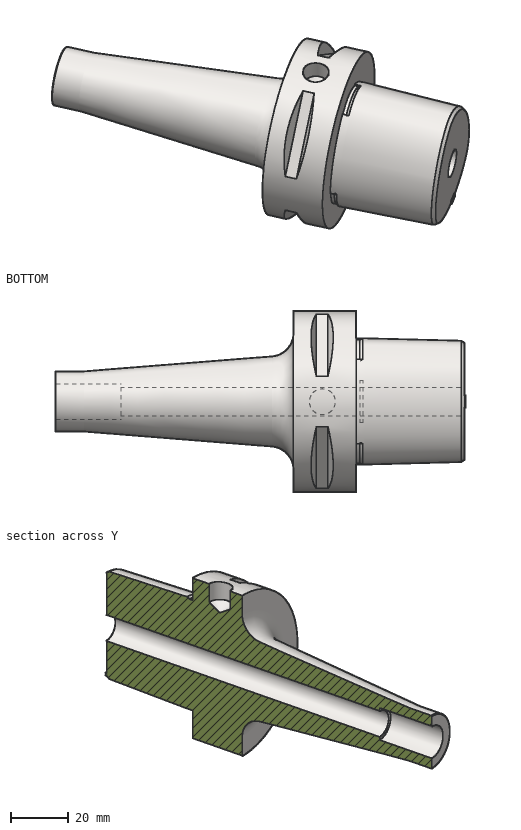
import cadquery as cq
import math

length = 143.0
nose_end = 10.0
cone_end = 75.5
flange_start = 83.0
flange_end = 104.8
taper_start = 107.7
pad_height = 0.5
shank_end = length - pad_height

nose_radius = 21.0 / 2
nose_chamfer = 0.3
cone_radius = 15.7
flange_radius = 63.0 / 2
blend_end_radius = 23.7

shank_radius = 22.0
lobe_height = 1.4
lobe_count = 3
curve_points = 36
taper_slope = 1 / 40
end_chamfer_length = 1.3
end_chamfer_depth = 0.9

notch_width = 14.6
notch_depth = 0.6
notch_floor_end = 106.1
notch_end = 107.1

slot_center = 93.0
slot_floor_width = 4.0
slot_mouth_width = 7.7
slot_floor_distance = 27.6
mark_diameter = 9.0
mark_depth = 7.2
drill_point_angle = 118
bore_diameter = 10.0
counterbore_diameter = 12.5
counterbore_depth = 22.9

pad_width = 4.3
pad_thickness = 1.0
pad_z = -18.2


def cross_section(x):
    """Work plane across the axis: local x is +Y, local y is +Z."""
    return cq.Workplane("YZ", origin=(x, 0, 0))


def lobed_wire(x, radius):
    """Closed three-lobed curve with one lobe on +Z; `radius` is its mean radius."""

    def point(turn):
        angle = 2 * math.pi * turn
        reach = radius + lobe_height * math.cos(lobe_count * angle)
        swing = lobe_count * lobe_height * math.sin(lobe_count * angle)
        y = reach * math.sin(angle) - swing * math.cos(angle)
        z = reach * math.cos(angle) + swing * math.sin(angle)
        return (y, z)

    seam = 0.5 / lobe_count
    points = [point(i / curve_points - seam) for i in range(curve_points)]
    return cross_section(x).spline(points, periodic=True).wire().val()


def lobed_solid(start, start_radius, end, end_radius):
    wires = [lobed_wire(start, start_radius), lobed_wire(end, end_radius)]
    return cq.Workplane(cq.Solid.makeLoft(wires, True))


def make_turned_body():
    return (
        cq.Workplane("XY")
        .lineTo(0, nose_radius - nose_chamfer)
        .lineTo(nose_chamfer, nose_radius)
        .lineTo(nose_end, nose_radius)
        .lineTo(cone_end, cone_radius)
        .tangentArcPoint((flange_start, blend_end_radius), relative=False)
        .lineTo(flange_start, flange_radius)
        .lineTo(flange_end, flange_radius)
        .lineTo(flange_end, 0)
        .close()
        .revolve(360, (0, 0, 0), (1, 0, 0))
    )


def make_shank():
    chamfer_start = shank_end - end_chamfer_length
    tip_radius = shank_radius - taper_slope * (chamfer_start - taper_start)
    root = lobed_solid(flange_end, shank_radius, taper_start, shank_radius)
    taper = lobed_solid(taper_start, shank_radius, chamfer_start, tip_radius)
    chamfer = lobed_solid(chamfer_start, tip_radius, shank_end, tip_radius - end_chamfer_depth)
    return root.union(taper).union(chamfer)


def make_notches():
    """Shallow reliefs on the lobes, each with a sloping run-out wall."""
    floor_radius = shank_radius - notch_depth
    floor = lobed_solid(flange_end, floor_radius, notch_floor_end, floor_radius)
    run_out = lobed_solid(notch_floor_end, floor_radius, notch_end, shank_radius)
    block = cross_section(flange_end).rect(notch_width, flange_radius, centered=(True, False))
    block = block.extrude(notch_end - flange_end)
    blocks = block
    for i in range(1, lobe_count):
        blocks = blocks.union(block.rotate((0, 0, 0), (1, 0, 0), i * 360 / lobe_count))
    return blocks.cut(floor).cut(run_out)


def make_gripper_slot():
    """Straight slot with sloping sides across the +Z side of the flange."""
    slot_top = 2 * flange_radius - slot_floor_distance
    mouth_overhang = slot_mouth_width - slot_floor_width
    half_floor = slot_floor_width / 2
    half_top = half_floor + mouth_overhang
    outline = [
        (slot_center - half_floor, slot_floor_distance),
        (slot_center + half_floor, slot_floor_distance),
        (slot_center + half_top, slot_top),
        (slot_center - half_top, slot_top),
    ]
    return cq.Workplane("XZ").polyline(outline).close().extrude(flange_radius, both=True)


def make_drilled_mark():
    """Blind drilled hole with a conical bottom, on the +Z side of the flange."""
    radius = mark_diameter / 2
    floor = flange_radius - mark_depth
    tip = floor - radius / math.tan(math.radians(drill_point_angle / 2))
    outline = [(0, tip), (radius, floor), (radius, flange_radius), (0, flange_radius)]
    return (
        cq.Workplane("XZ", origin=(slot_center, 0, 0))
        .polyline(outline)
        .close()
        .revolve(360, (0, 0, 0), (0, 1, 0))
    )


def make_bore():
    bore = cross_section(0).circle(bore_diameter / 2).extrude(length)
    counterbore = cross_section(0).circle(counterbore_diameter / 2).extrude(counterbore_depth)
    return bore.union(counterbore)


def make_end_pad():
    pad = cross_section(shank_end).center(0, pad_z).rect(pad_width, pad_thickness)
    return pad.extrude(pad_height)


result = make_turned_body().union(make_shank().cut(make_notches())).union(make_end_pad())
gripper_slot = make_gripper_slot()
for slot_angle in (45, 135, 225, 315):
    result = result.cut(gripper_slot.rotate((0, 0, 0), (1, 0, 0), slot_angle))
result = result.cut(make_drilled_mark()).cut(make_bore())